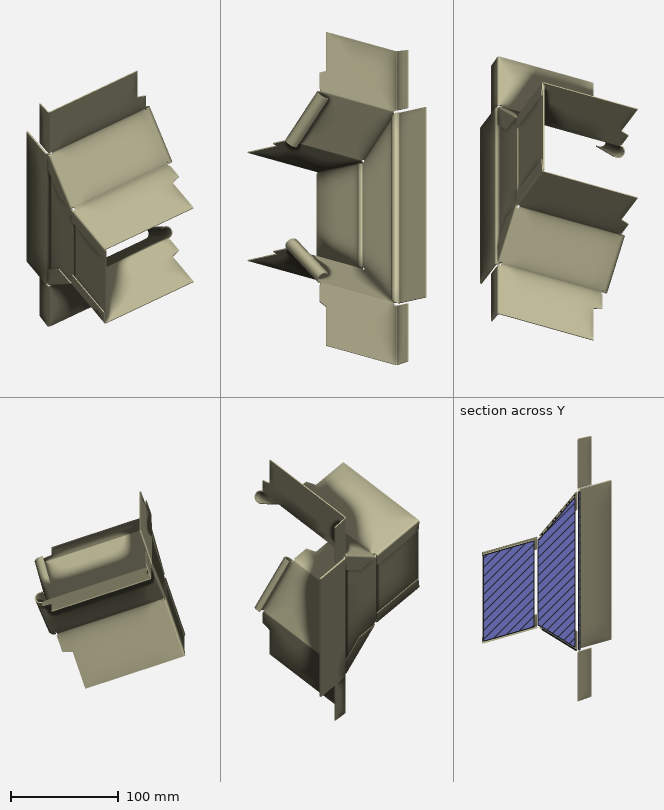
import cadquery as cq
import math

total_length = 133.5
total_height = 114.45
half_span = 300.17 / 2

sheet = 1.0
bend_inner = 1.0
bend_outer = bend_inner + sheet
end_wall_x = 36.0
outlet_half_width = 52.2
wall_bend_angle = 45.0
diagonal_run = 39.8
outlet_x = end_wall_x + diagonal_run
mouth_half_width = outlet_half_width + diagonal_run

plate = 1.5
flap_half_width = 91.0
bead_rise = 1.75
bead_half_width = 2.6
bead_rim_radius = 0.7
entry_bead_x = 36.98
outlet_bead_x = 79.0
joggle_angle = 60.0
joggle_radius = 1.0
plate_diagonal_gap = 2.9
plate_outlet_half_width = 49.5

flange_y = plate
main_y = flange_y + sheet
main_top = main_y + plate

bead_half_angle = math.atan(bead_rise / bead_half_width)
bead_angle = math.degrees(2 * bead_half_angle)
bead_radius = bead_half_width / math.sin(2 * bead_half_angle) - bead_rim_radius
bead_centre_y = main_y + bead_rise - bead_radius

flange_width = 15.0
diagonal_flange_width = 15.8
flange_taper = 5.0
flange_corner_gap = 1.5
diagonal_flange_setback = 0.5
diagonal_bend_gap = 1.5
corner_relief_y = 5.5
rim_radius = 6.0
rim_y = total_height - rim_radius
rim_lip = 3.0
corner_notch_depth = 1.0
corner_notch_reach = 1.8
step_y = 99.3
step_distance = 17.7
step_slope = 20.0
taper_cut = (flange_width - bend_outer) * math.tan(math.radians(flange_taper))

DIAG = math.sqrt(0.5)


def bent_plane(x, z, inward):
    """Plane across a wall: local x points into the channel, local y is +Y."""
    normal = (-inward[1], 0, inward[0])
    return cq.Plane(origin=(x, 0, z), xDir=(inward[0], 0, inward[1]), normal=normal)


def wall():
    """Standing sheet of the bracket: three straight walls joined by two 45 degree bends."""
    inset = sheet * math.tan(math.radians(wall_bend_angle / 2))
    outer = [(end_wall_x, mouth_half_width), (outlet_x, outlet_half_width)]
    inner = [
        (end_wall_x - sheet, mouth_half_width - inset),
        (outlet_x - inset, outlet_half_width - sheet),
    ]
    height = rim_y - corner_relief_y
    body = (
        cq.Workplane("XZ", origin=(0, corner_relief_y, 0))
        .moveTo(end_wall_x, half_span)
        .lineTo(*outer[0])
        .lineTo(*outer[1])
        .lineTo(total_length, outlet_half_width)
        .lineTo(total_length, outlet_half_width - sheet)
        .lineTo(*inner[1])
        .lineTo(*inner[0])
        .lineTo(end_wall_x - sheet, half_span)
        .close()
        .extrude(-height)
    )
    for corners, radius in ((outer, bend_inner), (inner, bend_outer)):
        for x, z in corners:
            middle = (x, corner_relief_y + height / 2, z)
            body = body.edges("|Y").edges(cq.NearestToPointSelector(middle)).fillet(radius)
    return body


def wall_top_cutter(x, z, direction, length):
    """Stepped top edge of a straight wall, and the small notch beside the rolled rim."""
    step_run = (rim_y - step_y) * math.tan(math.radians(step_slope))
    side = cq.Workplane(bent_plane(x, z, direction))
    step = (
        side.moveTo(step_distance, rim_y)
        .lineTo(step_distance + step_run, step_y)
        .lineTo(length, step_y)
        .lineTo(length, rim_y)
        .close()
        .extrude(2 * sheet, both=True)
    )
    notch = (
        side.moveTo(0, rim_y)
        .rect(2 * corner_notch_reach, 2 * corner_notch_depth)
        .extrude(2 * sheet, both=True)
    )
    return step.union(notch)


def flange(plane, width, length):
    """Bottom flange with its bend and a short upright leg that joins the wall."""
    corner = bend_outer * (1 - DIAG)
    inner_corner = bend_outer - bend_inner * DIAG
    return (
        cq.Workplane(plane)
        .moveTo(0, corner_relief_y)
        .lineTo(0, flange_y + bend_outer)
        .threePointArc((corner, flange_y + corner), (bend_outer, flange_y))
        .lineTo(width, flange_y)
        .lineTo(width, flange_y + sheet)
        .lineTo(bend_outer, flange_y + sheet)
        .threePointArc((inner_corner, flange_y + inner_corner), (sheet, flange_y + bend_outer))
        .lineTo(sheet, corner_relief_y)
        .close()
        .extrude(length)
    )


def flange_taper_cutter(points):
    """Thin wedge, as thick as the sheet, that tapers the free end of a flange."""
    return cq.Workplane("XZ", origin=(0, flange_y, 0)).polyline(points).close().extrude(-sheet)


def end_flange():
    """Flange of the end wall, lying on the flap."""
    start = mouth_half_width + flange_corner_gap
    body = flange(bent_plane(end_wall_x, half_span, (-1, 0)), flange_width, half_span - start)
    free_x = end_wall_x - flange_width
    return body.cut(
        flange_taper_cutter(
            [(end_wall_x - bend_outer, half_span), (free_x, half_span), (free_x, half_span - taper_cut)]
        )
    )


def outlet_flange():
    """Flange of the outlet wall, under the main plate."""
    start = outlet_x + flange_corner_gap
    body = flange(bent_plane(start, outlet_half_width, (0, -1)), flange_width, total_length - start)
    free_z = outlet_half_width - flange_width
    return body.cut(
        flange_taper_cutter(
            [
                (total_length, outlet_half_width - bend_outer),
                (total_length, free_z),
                (total_length - taper_cut, free_z),
            ]
        )
    )


def diagonal_flange():
    """Flange of the 45 degree wall, trimmed square to the end wall and to the outlet wall."""
    over = diagonal_flange_width
    plane = bent_plane(end_wall_x - over * DIAG, mouth_half_width + over * DIAG, (-DIAG, -DIAG))
    body = flange(plane, diagonal_flange_width, diagonal_run / DIAG + 2 * over)
    keep_size = diagonal_run + diagonal_flange_setback - diagonal_bend_gap
    keep = cq.Workplane("XY").box(keep_size, corner_relief_y, keep_size, centered=False)
    corner = (end_wall_x - diagonal_flange_setback, 0, outlet_half_width - diagonal_flange_setback)
    return body.intersect(keep.translate(corner))


def rim():
    """Half-round rolled rim with a short lip on top of the 45 degree wall."""
    width = 2 * rim_radius
    return (
        cq.Workplane(bent_plane(end_wall_x, mouth_half_width, (-DIAG, -DIAG)))
        .moveTo(0, rim_y)
        .threePointArc((rim_radius, total_height), (width, rim_y))
        .lineTo(width, rim_y - rim_lip)
        .lineTo(width - sheet, rim_y - rim_lip)
        .lineTo(width - sheet, rim_y)
        .threePointArc((rim_radius, total_height - sheet), (sheet, rim_y))
        .close()
        .extrude(diagonal_run / DIAG)
    )


def side_bracket():
    """Folded sheet with its three bottom flanges and its rolled rim."""
    body = wall()
    body = body.cut(wall_top_cutter(end_wall_x, mouth_half_width, (0, 1), half_span - mouth_half_width))
    body = body.cut(wall_top_cutter(outlet_x, outlet_half_width, (1, 0), total_length - outlet_x))
    for piece in (end_flange(), diagonal_flange(), outlet_flange(), rim()):
        body = body.union(piece)
    return body


def arc_point(centre, radius, degrees):
    """Point on a circle; the angle runs from +Y toward +X."""
    angle = math.radians(degrees)
    return (centre[0] + radius * math.sin(angle), centre[1] + radius * math.cos(angle))


def bead_end(profile, bead_x):
    """Underside of a bead from its crest down to the flat underside of the main plate."""
    crest_centre = (bead_x, bead_centre_y)
    rim_centre = (bead_x + bead_half_width, main_y + bead_rim_radius)
    return (
        profile.threePointArc(
            arc_point(crest_centre, bead_radius, bead_angle / 2),
            arc_point(crest_centre, bead_radius, bead_angle),
        )
        .threePointArc(
            arc_point(rim_centre, bead_rim_radius, 180 + bead_angle / 2),
            (rim_centre[0], main_y),
        )
    )


def plate_section():
    """Cross-section of the base plate: flap, sloped joggle, bead, main plate and second bead."""
    bead_top_radius = bead_radius + plate
    bead_top_half_width = math.sqrt(bead_top_radius**2 - (main_top - bead_centre_y) ** 2)
    entry_centre = (entry_bead_x, bead_centre_y)
    outlet_centre = (outlet_bead_x, bead_centre_y)
    outlet_rim_centre = (outlet_bead_x - bead_half_width, main_y + bead_rim_radius)

    slope = math.radians(joggle_angle)
    bend_radius = joggle_radius + plate
    slope_low_end = arc_point(entry_centre, bead_radius, -joggle_angle)
    slope_low_start_y = bend_radius * (1 - math.cos(slope))
    slope_run = (slope_low_end[1] - slope_low_start_y) / math.tan(slope)
    bend_x = slope_low_end[0] - slope_run - bend_radius * math.sin(slope)
    bend_centre = (bend_x, bend_radius)
    half_bend = 180 - joggle_angle / 2
    full_bend = 180 - joggle_angle

    section = (
        cq.Workplane("XY", origin=(0, 0, -flap_half_width))
        .lineTo(bend_x, 0)
        .threePointArc(
            arc_point(bend_centre, bend_radius, half_bend),
            arc_point(bend_centre, bend_radius, full_bend),
        )
        .lineTo(*slope_low_end)
        .threePointArc(
            arc_point(entry_centre, bead_radius, -joggle_angle / 2),
            arc_point(entry_centre, bead_radius, 0),
        )
    )
    section = bead_end(section, entry_bead_x)
    section = (
        section.lineTo(outlet_rim_centre[0], main_y)
        .threePointArc(
            arc_point(outlet_rim_centre, bead_rim_radius, 180 - bead_angle / 2),
            arc_point(outlet_rim_centre, bead_rim_radius, 180 - bead_angle),
        )
        .threePointArc(
            arc_point(outlet_centre, bead_radius, -bead_angle / 2),
            arc_point(outlet_centre, bead_radius, 0),
        )
    )
    section = bead_end(section, outlet_bead_x)
    return (
        section.lineTo(total_length, main_y)
        .lineTo(total_length, main_top)
        .lineTo(outlet_bead_x + bead_top_half_width, main_top)
        .threePointArc(
            arc_point(outlet_centre, bead_top_radius, 0),
            (outlet_bead_x - bead_top_half_width, main_top),
        )
        .lineTo(entry_bead_x + bead_top_half_width, main_top)
        .threePointArc(
            arc_point(entry_centre, bead_top_radius, 0),
            arc_point(entry_centre, bead_top_radius, -joggle_angle),
        )
        .lineTo(*arc_point(bend_centre, joggle_radius, full_bend))
        .threePointArc(arc_point(bend_centre, joggle_radius, half_bend), (bend_x, plate))
        .lineTo(0, plate)
        .close()
    )


def base_plate():
    """Folded sheet cut to a funnel outline that fits between the side brackets."""
    sheet_body = plate_section().extrude(2 * flap_half_width)
    edge_sum = end_wall_x + mouth_half_width - plate_diagonal_gap
    outline = [
        (0, flap_half_width),
        (edge_sum - flap_half_width, flap_half_width),
        (edge_sum - plate_outlet_half_width, plate_outlet_half_width),
        (total_length, plate_outlet_half_width),
    ]
    outline += [(x, -z) for x, z in reversed(outline)]
    funnel = cq.Workplane("XZ").polyline(outline).close().extrude(-total_height)
    return sheet_body.intersect(funnel)


plate_body = base_plate()
upper_bracket = side_bracket()
lower_bracket = upper_bracket.mirror("XY")

result = cq.Compound.makeCompound([plate_body.val(), upper_bracket.val(), lower_bracket.val()])